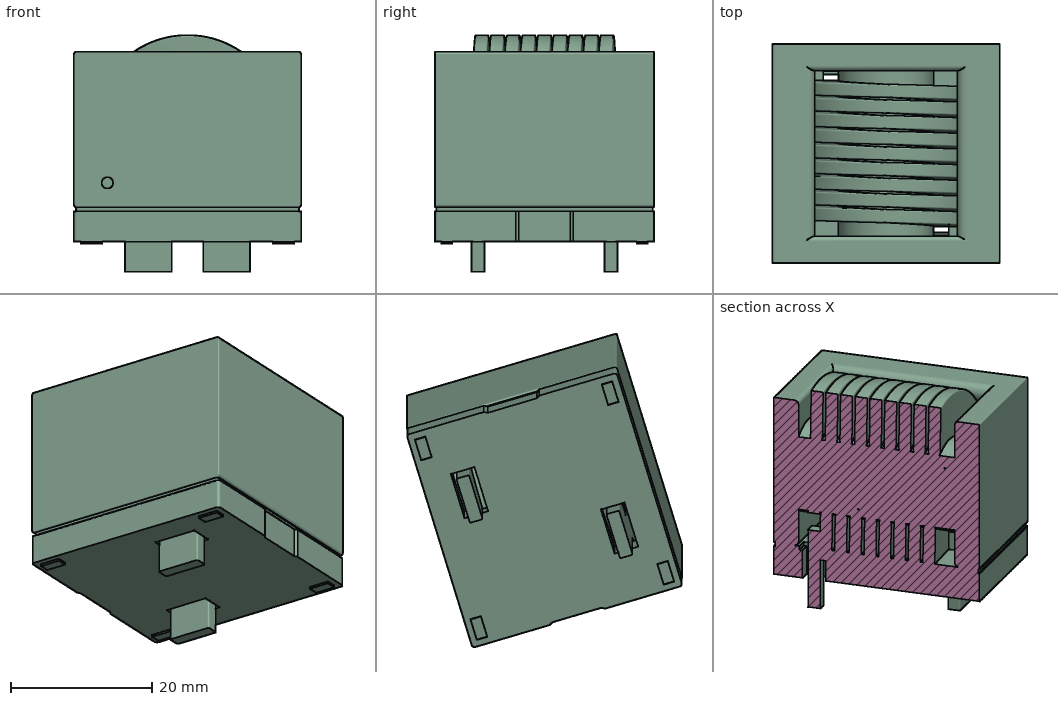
import cadquery as cq
import math

CORE_X = 32.2
CORE_Y = 31.0
CORE_BOTTOM = 9.1
CORE_TOP = 31.15
CORE_LONG_EDGE_RADIUS = 0.45
CORE_END_EDGE_RADIUS = 0.17
AXIS_Z = (CORE_BOTTOM + CORE_TOP) / 2
CORE_HALF_HEIGHT = (CORE_TOP - CORE_BOTTOM) / 2
POST_DIAMETER = 13.5
BORE_RADIUS = 13.63
LEG_EDGE_RADIUS = 1.3
WINDOW_HALF_Y = 11.72
YOKE_EDGE_RADIUS = 0.65

MARK_DIAMETER = 1.6
MARK_X = -11.32
MARK_Z = 12.6
MARK_DEPTH = 0.1

TOTAL_HEIGHT = 33.5
COIL_OUTER_RADIUS = TOTAL_HEIGHT - AXIS_Z
COIL_INNER_RADIUS = 6.7
COIL_TURNS = 8.5
COIL_LENGTH = 18.82
COIL_PITCH = COIL_LENGTH / COIL_TURNS
COIL_MEAN_RADIUS = (COIL_OUTER_RADIUS + COIL_INNER_RADIUS) / 2
WIRE_WIDTH = COIL_OUTER_RADIUS - COIL_INNER_RADIUS
WIRE_THICKNESS = 1.88
WIRE_EDGE_RADIUS = 0.25

PIN_X = 5.53
PIN_Y = COIL_LENGTH / 2
LEAD_ANGLE = math.degrees(math.acos(PIN_X / COIL_MEAN_RADIUS))
PIN_TOP = AXIS_Z - math.sqrt(COIL_MEAN_RADIUS**2 - PIN_X**2)

BASE_BOTTOM = 4.3
BASE_TOP = 8.55
BASE_CORNER_RADIUS = 0.45
NECK_INSET_X = 0.3
NECK_INSET_Y = 0.2
RECESS_OUTER_WIDTH = 8.17
RECESS_INNER_WIDTH = 7.25
RECESS_DEPTH = 0.27
SLOT_WIDTH_Y = 3.48
NECK_SLOT_WIDTH_Y = 4.35

FOOT_X = 13.55
FOOT_Y = 13.8
FOOT_SIZE_X = 3.08
FOOT_SIZE_Y = 1.55
FOOT_HEIGHT = 0.3


def block(size_x, size_y, bottom, top, x=0, y=0):
    """Upright box between two heights, centred on (x, y)."""
    return (
        cq.Workplane("XY")
        .box(size_x, size_y, top - bottom, centered=(True, True, False))
        .translate((x, y, bottom))
    )


def half_turn(body):
    """Copy of a body turned half a revolution about Z."""
    return body.rotate((0, 0, 0), (0, 0, 1), 180)


def window_across_legs():
    """Bore between the legs, flaring into rounded leg edges at top and bottom; runs along Y."""
    r = LEG_EDGE_RADIUS
    edge_z = CORE_HALF_HEIGHT - r
    edge_x = math.sqrt((BORE_RADIUS + r) ** 2 - edge_z**2)
    touch = BORE_RADIUS / (BORE_RADIUS + r)
    touch_x = edge_x * touch
    touch_z = edge_z * touch
    mid_angle = (math.pi / 2 + math.pi + math.atan2(edge_z, edge_x)) / 2
    mid_x = edge_x + r * math.cos(mid_angle)
    mid_z = edge_z + r * math.sin(mid_angle)
    top = CORE_HALF_HEIGHT
    return (
        cq.Workplane("XZ", origin=(0, 0, AXIS_Z))
        .moveTo(-edge_x, top)
        .lineTo(edge_x, top)
        .threePointArc((mid_x, mid_z), (touch_x, touch_z))
        .threePointArc((BORE_RADIUS, 0), (touch_x, -touch_z))
        .threePointArc((mid_x, -mid_z), (edge_x, -top))
        .lineTo(-edge_x, -top)
        .threePointArc((-mid_x, -mid_z), (-touch_x, -touch_z))
        .threePointArc((-BORE_RADIUS, 0), (-touch_x, touch_z))
        .threePointArc((-mid_x, mid_z), (-edge_x, top))
        .close()
        .extrude(CORE_Y / 2, both=True)
    )


def window_across_yokes():
    """Straight gap between the yokes with rounded edges at top and bottom; runs along X."""
    r = YOKE_EDGE_RADIUS
    wall = WINDOW_HALF_Y
    mouth = wall + r
    top = CORE_HALF_HEIGHT
    return (
        cq.Workplane("YZ", origin=(0, 0, AXIS_Z))
        .moveTo(-mouth, top)
        .lineTo(mouth, top)
        .radiusArc((wall, top - r), -r)
        .lineTo(wall, r - top)
        .radiusArc((mouth, -top), -r)
        .lineTo(-mouth, -top)
        .radiusArc((-wall, r - top), -r)
        .lineTo(-wall, top - r)
        .radiusArc((-mouth, top), -r)
        .close()
        .extrude(CORE_X / 2, both=True)
    )


def make_core():
    body = block(CORE_X, CORE_Y, CORE_BOTTOM, CORE_TOP)
    body = body.edges("|Y").fillet(CORE_LONG_EDGE_RADIUS)
    body = body.faces("<Y or >Y").edges().fillet(CORE_END_EDGE_RADIUS)
    body = body.cut(window_across_legs().intersect(window_across_yokes()))
    post_length = 2 * (WINDOW_HALF_Y + YOKE_EDGE_RADIUS)
    post = (
        cq.Workplane("XZ", origin=(0, 0, AXIS_Z))
        .circle(POST_DIAMETER / 2)
        .extrude(post_length / 2, both=True)
    )
    mark = (
        cq.Workplane("XZ", origin=(MARK_X, -CORE_Y / 2 + MARK_DEPTH, MARK_Z))
        .circle(MARK_DIAMETER / 2)
        .extrude(MARK_DEPTH)
    )
    return body.union(post).cut(mark)


def wire_section(plane, centre):
    """Rounded flat-wire cross-section, wide along the plane's first axis."""
    section = cq.Sketch().rect(WIRE_WIDTH, WIRE_THICKNESS).vertices().fillet(WIRE_EDGE_RADIUS)
    return cq.Workplane(plane, origin=centre).placeSketch(section)


def make_winding():
    """Left-handed helix built along Z, then laid along the post with its start at -X, +Y."""
    path = cq.Wire.makeHelix(COIL_PITCH, COIL_LENGTH, COIL_MEAN_RADIUS, lefthand=True)
    section = wire_section("XZ", (COIL_MEAN_RADIUS, 0, 0))
    helix = section.sweep(cq.Workplane(path), isFrenet=True)
    upright = half_turn(helix).translate((0, 0, -COIL_LENGTH / 2))
    return upright.rotate((0, 0, 0), (1, 0, 0), 90).translate((0, 0, AXIS_Z))


def make_lead():
    """Lead at the -X, +Y end of the coil."""
    section = wire_section("XY", (-COIL_MEAN_RADIUS, PIN_Y, AXIS_Z))
    bend = section.revolve(LEAD_ANGLE, (COIL_MEAN_RADIUS, 0, 0), (COIL_MEAN_RADIUS, -1, 0))
    pin = wire_section("XY", (-PIN_X, PIN_Y, 0)).extrude(PIN_TOP)
    return bend.union(pin)


def make_base():
    plate = block(CORE_X, CORE_Y, BASE_BOTTOM, BASE_TOP)
    plate = plate.edges("|Z").fillet(BASE_CORNER_RADIUS)
    recess = (
        cq.Workplane("XY", origin=(0, 0, BASE_BOTTOM))
        .moveTo(-CORE_X / 2, -RECESS_OUTER_WIDTH / 2)
        .lineTo(-CORE_X / 2 + RECESS_DEPTH, -RECESS_INNER_WIDTH / 2)
        .lineTo(-CORE_X / 2 + RECESS_DEPTH, RECESS_INNER_WIDTH / 2)
        .lineTo(-CORE_X / 2, RECESS_OUTER_WIDTH / 2)
        .close()
        .extrude(BASE_TOP - BASE_BOTTOM)
    )
    plate = plate.cut(recess).cut(half_turn(recess))

    neck = block(CORE_X - 2 * NECK_INSET_X, CORE_Y - 2 * NECK_INSET_Y, BASE_TOP, CORE_BOTTOM)
    plate = plate.union(neck.edges("|Z").fillet(BASE_CORNER_RADIUS))

    slot = block(WIRE_WIDTH, SLOT_WIDTH_Y, BASE_BOTTOM, CORE_BOTTOM, -PIN_X, PIN_Y)
    slot = slot.union(block(WIRE_WIDTH, NECK_SLOT_WIDTH_Y, BASE_TOP, CORE_BOTTOM, -PIN_X, PIN_Y))
    plate = plate.cut(slot).cut(half_turn(slot))

    for side_x in (-1, 1):
        for side_y in (-1, 1):
            foot = block(
                FOOT_SIZE_X, FOOT_SIZE_Y, BASE_BOTTOM - FOOT_HEIGHT, BASE_BOTTOM,
                side_x * FOOT_X, side_y * FOOT_Y,
            )
            plate = plate.union(foot)
    return plate


lead = make_lead()
result = make_core().union(make_base()).union(make_winding()).union(lead).union(half_turn(lead))